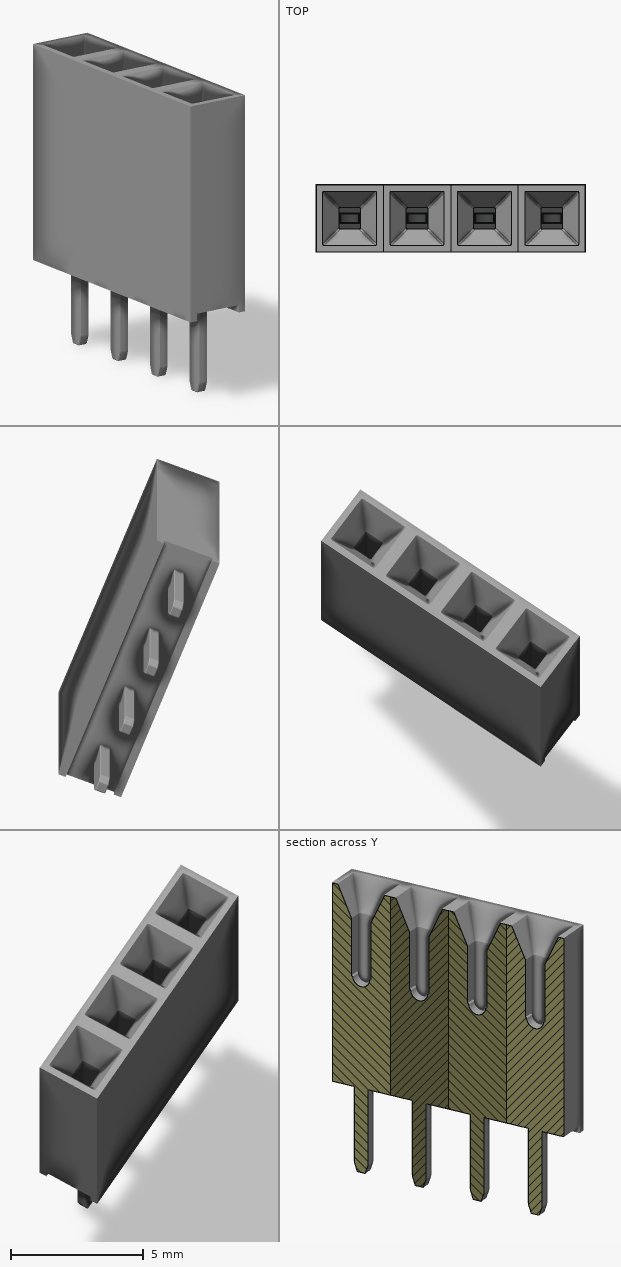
import cadquery as cq

cell_count = 4
pitch = 2.54
total_height = 11.7
housing_height = 8.5
pin_reach = total_height - housing_height

foot_width = 0.29
channel_height = 0.29
channel_width = pitch - 2 * foot_width

mouth_width = 2.04
socket_width = 0.82
funnel_depth = 1.29
socket_depth = 4.21
corner_radius = 0.06
funnel_bottom = housing_height - funnel_depth
socket_floor = housing_height - socket_depth

pin_width = 0.65
pin_thickness = 0.4
tip_width = 0.39
tip_height = 0.39
pin_chamfer = 0.029

notch_radius = 0.34
notch_chamfer = 0.04
notch_base = 0.23
head_height = notch_base + notch_radius


def rounded_square(width):
    return cq.Sketch().rect(width, width).vertices().fillet(corner_radius)


def make_cavity():
    """The funnel and the straight socket below it, as one cutting shape."""
    throat = rounded_square(socket_width)
    mouth = rounded_square(mouth_width).moved(cq.Location(cq.Vector(0, 0, funnel_depth)))
    funnel = cq.Workplane("XY", origin=(0, 0, funnel_bottom)).placeSketch(throat, mouth).loft()
    socket = (
        cq.Workplane("XY", origin=(0, 0, socket_floor))
        .placeSketch(throat)
        .extrude(funnel_bottom - socket_floor)
    )
    return socket.union(funnel)


def make_housing_block():
    block = cq.Workplane("XY").box(pitch, pitch, housing_height, centered=(True, True, False))
    channel = cq.Workplane("XY").box(pitch, channel_width, channel_height, centered=(True, True, False))
    return block.cut(channel).cut(make_cavity())


def make_pin():
    """A flat pin with a tapered tip and chamfered edges, reaching up to the channel roof."""
    half_pin = pin_width / 2
    half_tip = tip_width / 2
    shoulder = tip_height - pin_reach
    return (
        cq.Workplane("XZ", origin=(0, pin_thickness / 2, 0))
        .moveTo(-half_pin, channel_height)
        .lineTo(-half_pin, shoulder)
        .lineTo(-half_tip, -pin_reach)
        .lineTo(half_tip, -pin_reach)
        .lineTo(half_pin, shoulder)
        .lineTo(half_pin, channel_height)
        .close()
        .extrude(pin_thickness)
        .edges("not >Z")
        .chamfer(pin_chamfer)
    )


def make_contact_head():
    """A plate across the socket with a half-round notch in its top, chamfered all around the notch."""
    notch_height = socket_floor + head_height
    plate = cq.Workplane("XY", origin=(0, 0, socket_floor)).box(
        socket_width, pin_thickness, head_height, centered=(True, True, False)
    )
    notch = (
        cq.Workplane("XZ", origin=(0, pin_thickness / 2, notch_height))
        .circle(notch_radius)
        .extrude(pin_thickness)
    )
    return plate.cut(notch).faces("%CYLINDER").edges().chamfer(notch_chamfer)


def make_cell():
    return make_housing_block().union(make_pin()).union(make_contact_head())


cell = make_cell()
first_cell_x = -(cell_count - 1) * pitch / 2
cells = []
for index in range(cell_count):
    placed_cell = cell.translate((first_cell_x + index * pitch, 0, 0))
    cells.append(placed_cell.val())

result = cq.Compound.makeCompound(cells)